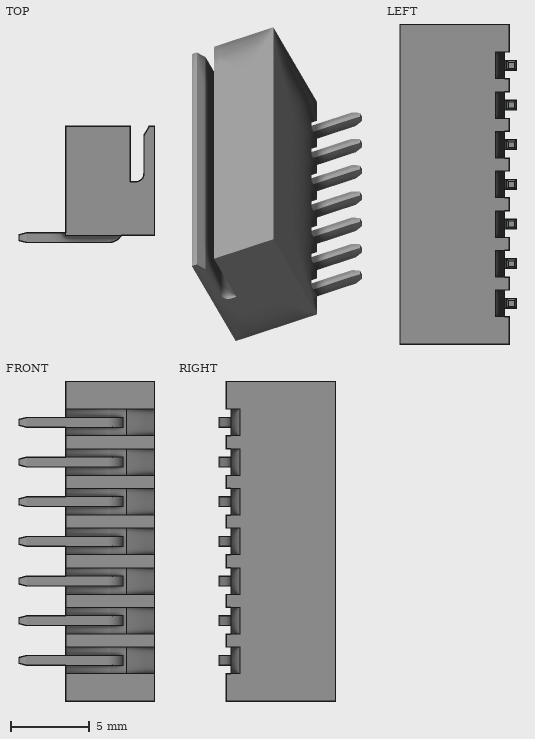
import cadquery as cq
import math


housing_width = 5.7
housing_depth = 7.0
housing_height = 20.5

pin_count = 7
pitch = 2.54

pin_size = 0.64
pin_reach = 3.0
pin_proud = 0.46
tip_size = 0.38
tip_length = 0.5
leg_outer_x = 3.7
bend_outer_radius = 0.95
bend_inner_radius = bend_outer_radius - pin_size
leg_end_y = 1.5

pocket_height = 1.7
pocket_depth = 0.9
land_depth = 0.3
land_start_x = 2.84
land_end_x = 3.9

slot_start_x = 4.15
slot_end_x = 5.0
slot_depth = 3.55
slot_corner_radius = 0.5
lip_chamfer_x = 0.35
lip_chamfer_y = 0.6

pin_heights = [(i - (pin_count - 1) / 2) * pitch for i in range(pin_count)]


def prism(outline, height, mid_z=0.0):
    """Extrude a closed XY outline by height, centred on mid_z."""
    return outline.extrude(height / 2, both=True).translate((0, 0, mid_z))


def make_housing():
    outline = cq.Workplane("XY").rect(housing_width, housing_depth, centered=False)
    return prism(outline, housing_height)


def make_slot():
    bottom_y = housing_depth - slot_depth
    outline = (
        cq.Workplane("XY")
        .moveTo(slot_start_x, housing_depth)
        .lineTo(slot_start_x, bottom_y)
        .lineTo(slot_end_x - slot_corner_radius, bottom_y)
        .radiusArc((slot_end_x, bottom_y + slot_corner_radius), -slot_corner_radius)
        .lineTo(slot_end_x, housing_depth - lip_chamfer_y)
        .lineTo(slot_end_x + lip_chamfer_x, housing_depth)
        .close()
    )
    return prism(outline, housing_height)


def make_pocket(mid_z):
    outline = cq.Workplane("XY").polyline([
        (0, 0),
        (0, pocket_depth),
        (land_start_x, land_depth),
        (land_end_x, land_depth),
        (housing_width, pocket_depth),
        (housing_width, 0),
    ]).close()
    return prism(outline, pocket_height, mid_z)


def make_pin(mid_z):
    bend_x = leg_outer_x - bend_outer_radius
    bend_y = bend_outer_radius - pin_proud
    leg_inner_x = leg_outer_x - pin_size
    inner_y = pin_size - pin_proud
    shank_start_x = tip_length - pin_reach
    diagonal = math.sqrt(0.5)
    outline = (
        cq.Workplane("XY")
        .moveTo(shank_start_x, -pin_proud)
        .lineTo(bend_x, -pin_proud)
        .threePointArc(
            (bend_x + bend_outer_radius * diagonal, bend_y - bend_outer_radius * diagonal),
            (leg_outer_x, bend_y),
        )
        .lineTo(leg_outer_x, leg_end_y)
        .lineTo(leg_inner_x, leg_end_y)
        .lineTo(leg_inner_x, bend_y)
        .threePointArc(
            (bend_x + bend_inner_radius * diagonal, bend_y - bend_inner_radius * diagonal),
            (bend_x, inner_y),
        )
        .lineTo(shank_start_x, inner_y)
        .close()
    )
    shank = prism(outline, pin_size, mid_z)
    axis_y = pin_size / 2 - pin_proud
    tip = (
        cq.Workplane("YZ", origin=(-pin_reach, axis_y, mid_z))
        .rect(tip_size, tip_size)
        .workplane(offset=tip_length)
        .rect(pin_size, pin_size)
        .loft(ruled=True)
    )
    return shank.union(tip)


result = make_housing().cut(make_slot())
for pin_z in pin_heights:
    result = result.cut(make_pocket(pin_z))
for pin_z in pin_heights:
    result = result.union(make_pin(pin_z))